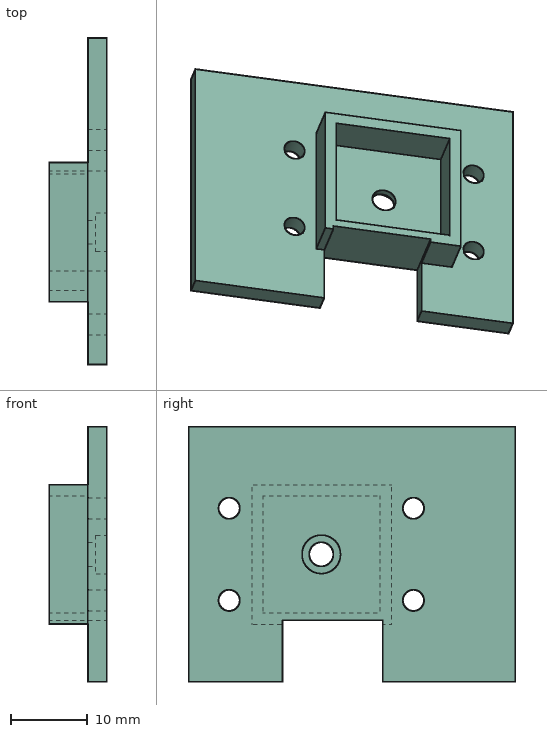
import cadquery as cq

plate_thickness = 2.45
plate_width = 42.5
plate_height = 33.2

housing_depth = 5.0
housing_side = 18.15
housing_wall = 1.5
housing_y = -4.0

center_hole_diameter = 3.1
counterbore_diameter = 5.0
counterbore_depth = 1.5
mount_hole_diameter = 2.7
mount_spacing_y = 23.95
mount_spacing_z = 12.0

notch_width = 13.0
notch_height = 8.0
notch_y = -2.5

total_depth = plate_thickness + housing_depth
pocket_side = housing_side - 2 * housing_wall


def block(x_start, x_length, y_center, z_center, width, height):
    """Box starting at x_start, centred on the given Y and Z."""
    return (
        cq.Workplane("XY")
        .box(x_length, width, height, centered=(False, True, True))
        .translate((x_start, y_center, z_center))
    )


def holes(points, diameter, x_start=0):
    """Cylinders along X from x_start to the plate back at the given (Y, Z) points."""
    return (
        cq.Workplane("YZ", origin=(x_start, 0, 0))
        .pushPoints(points)
        .circle(diameter / 2)
        .extrude(total_depth - x_start)
    )


plate = block(housing_depth, plate_thickness, 0, 0, plate_width, plate_height)
housing = block(0, housing_depth, housing_y, 0, housing_side, housing_side)
pocket = block(0, housing_depth, housing_y, 0, pocket_side, pocket_side)
notch_z = (notch_height - plate_height) / 2
notch = block(0, total_depth, notch_y, notch_z, notch_width, notch_height)

counterbore_start = total_depth - counterbore_depth
counterbore = holes([(housing_y, 0)], counterbore_diameter, counterbore_start)

mount_points = [
    (housing_y + side_y * mount_spacing_y / 2, side_z * mount_spacing_z / 2)
    for side_y in (-1, 1)
    for side_z in (-1, 1)
]

result = (
    plate.union(housing)
    .cut(pocket)
    .cut(notch)
    .cut(holes([(housing_y, 0)], center_hole_diameter))
    .cut(counterbore)
    .cut(holes(mount_points, mount_hole_diameter))
)